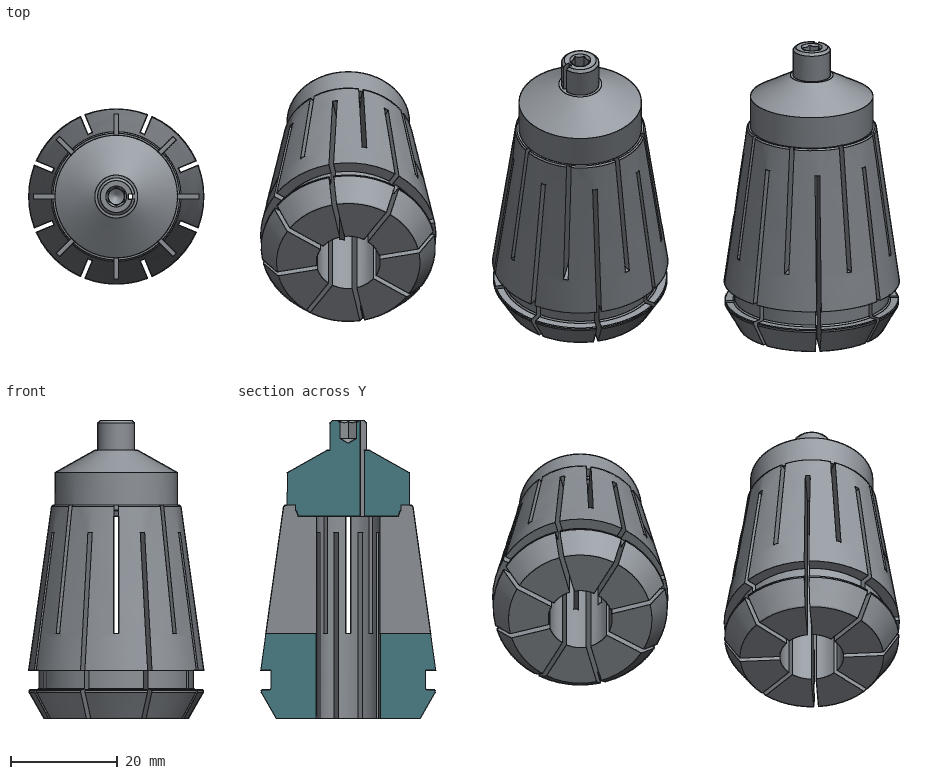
import cadquery as cq
import math

total_height = 56.0
collet_top = 40.1
neck_bottom = 5.45
neck_top = 9.1
shoulder_height = 46.2
cap_top = 50.4

collet_max_diameter = 32.9
collet_top_diameter = 24.35
collet_top_chamfer = 0.3
neck_diameter = 29.0
neck_corner = 0.3
lip_diameter = 32.7
lip_bottom_diameter = 27.3
lip_bottom_chamfer = 0.15
lip_chamfer = 0.15
lip_rim_height = 0.35
bore_diameter = 12.0

slot_count = 8
slot_width = 0.9
upper_slot_bottom = 16.0
lower_slot_top = 35.0

cap_diameter = 23.0
cap_top_diameter = 8.05
plug_diameter = 19.8
plug_taper_diameter = 19.5
plug_tip_diameter = 18.8
plug_rim_bottom = 39.15
plug_bottom = 37.95

screw_diameter = 7.0
screw_chamfer = 0.5
thread_hole_diameter = 6.05
key_slot_width = 0.95
key_slot_floor = 2.3
hex_across_flats = 3.0
socket_mouth_diameter = 3.9
socket_depth = 3.35
socket_tip_angle = 118.0


def turned(points):
    """Revolve a (radius, height) outline around the Z axis."""
    return cq.Workplane("XZ").polyline(points).close().revolve(360, (0, 0, 0), (0, 1, 0))


def make_slot(bottom, top, angle):
    """Radial slot from the axis to beyond the collet, at an angle about Z."""
    length = collet_max_diameter
    slot = cq.Workplane("XY").box(length, slot_width, top - bottom, centered=(False, True, False))
    return slot.translate((0, 0, bottom)).rotate((0, 0, 0), (0, 0, 1), angle)


def make_collet():
    bore_radius = bore_diameter / 2
    lip_radius = lip_diameter / 2
    top_radius = collet_top_diameter / 2
    rim_top = neck_bottom - lip_chamfer
    collet = turned([
        (bore_radius, 0),
        (lip_bottom_diameter / 2 - lip_bottom_chamfer, 0),
        (lip_bottom_diameter / 2, lip_bottom_chamfer),
        (lip_radius, rim_top - lip_rim_height),
        (lip_radius, rim_top),
        (lip_radius - lip_chamfer, neck_bottom),
        (neck_diameter / 2 + neck_corner, neck_bottom),
        (neck_diameter / 2, neck_bottom + neck_corner),
        (neck_diameter / 2, neck_top),
        (collet_max_diameter / 2, neck_top),
        (top_radius, collet_top - collet_top_chamfer),
        (top_radius - collet_top_chamfer, collet_top),
        (bore_radius, collet_top),
    ])
    pitch = 360 / slot_count
    for index in range(slot_count):
        angle = index * pitch
        collet = collet.cut(make_slot(upper_slot_bottom, collet_top, angle))
        collet = collet.cut(make_slot(0, lower_slot_top, angle + pitch / 2))
    return collet


def make_cap():
    rim_chamfer = (plug_diameter - plug_taper_diameter) / 2
    return turned([
        (0, plug_bottom),
        (plug_tip_diameter / 2, plug_bottom),
        (plug_taper_diameter / 2, plug_rim_bottom - rim_chamfer),
        (plug_diameter / 2, plug_rim_bottom),
        (plug_diameter / 2, collet_top),
        (cap_diameter / 2, collet_top),
        (cap_diameter / 2, shoulder_height),
        (cap_top_diameter / 2, cap_top),
        (0, cap_top),
    ])


def make_screw():
    screw = cq.Workplane("XY").workplane(offset=cap_top).circle(screw_diameter / 2)
    screw = screw.extrude(total_height - cap_top)
    return screw.faces(">Z").chamfer(screw_chamfer)


def make_hex_socket():
    """Hexagon with flats facing X, a countersunk mouth and a drilled tip."""
    across_corners = hex_across_flats / math.cos(math.pi / 6)
    socket_floor = total_height - socket_depth
    hexagon = cq.Workplane("XY").workplane(offset=socket_floor).polygon(6, across_corners)
    hexagon = hexagon.extrude(socket_depth).rotate((0, 0, 0), (0, 0, 1), 30)
    mouth_radius = socket_mouth_diameter / 2
    mouth = turned([(0, total_height), (mouth_radius, total_height), (0, total_height - mouth_radius)])
    tip_radius = hex_across_flats / 2
    tip_depth = tip_radius / math.tan(math.radians(socket_tip_angle / 2))
    tip = turned([(0, socket_floor), (tip_radius, socket_floor), (0, socket_floor - tip_depth)])
    return hexagon.union(mouth).union(tip)


def make_key_slot(bottom, top, outer_radius):
    """Lengthwise slot in the +X side of the screw."""
    depth = outer_radius - key_slot_floor
    slot = cq.Workplane("XY").box(depth, key_slot_width, top - bottom, centered=(False, True, False))
    return slot.translate((key_slot_floor, 0, bottom))


result = make_collet().union(make_cap()).union(make_screw())
result = result.cut(make_hex_socket())
result = result.cut(make_key_slot(cap_top, total_height, screw_diameter / 2))
result = result.cut(make_key_slot(plug_bottom, cap_top, thread_hole_diameter / 2))